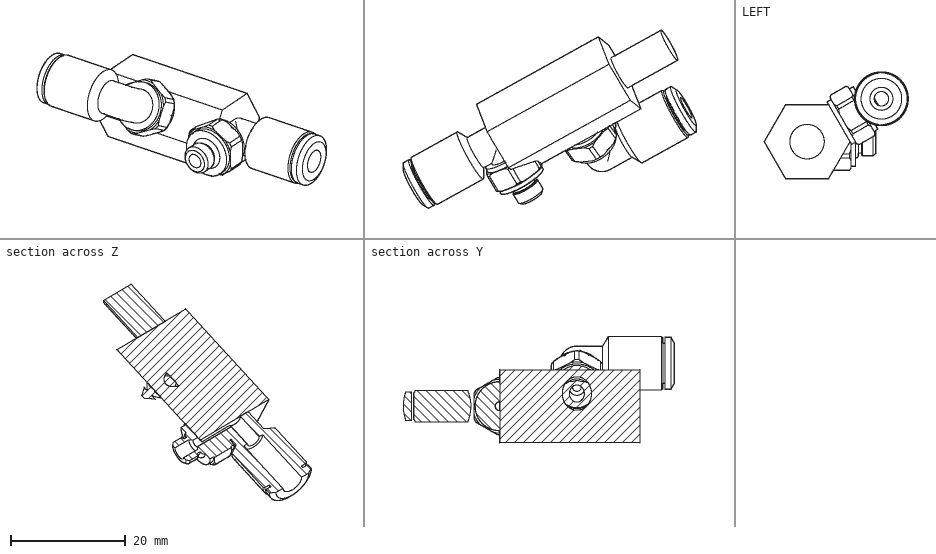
import cadquery as cq
import math

block_length = 24.5
block_flats = 13.0
rod_length = 10.0
rod_diameter = 6.0

tube_diameter = 6.0
taper_start = 4.5
taper_length = 1.05
body_start = taper_start + taper_length
body_diameter = 9.4
body_end = 15.0
body_end_chamfer = 0.25
groove_diameter = 7.0
collar_diameter = 9.1
collar_start = 15.35
collar_chamfer_start = 16.45
collar_face_diameter = 7.1
hose_arm_length = 17.0

shoulder_diameter = 8.6
shoulder_start = 3.2
nut_start = 3.95
nut_end = 7.65
nut_flats = 9.0
nut_corner_diameter = 10.0
nut_chamfer = 0.3
flange_diameter = 8.6
seat = 8.5
ring_diameter = 5.65
ring_height = 0.45
ring_rounding = 0.4
neck_diameter = 4.0
thread_diameter = 5.0
thread_start = 9.55
thread_top_chamfer = 0.15
thread_tip_chamfer = 0.45
stem_length = 12.0

hose_socket_diameter = 4.0
hose_bore_diameter = 2.5
stem_bore_diameter = 1.5
stud_bore_diameter = 2.5
stud_bore_taper = (stud_bore_diameter - stem_bore_diameter) / 2

side_fitting_x = 11.0
side_fitting_elevation = 30
side_fitting_reach = block_flats / 2 + seat


def hexagon_prism(plane, flats, length):
    """Hexagonal prism with two corners on the plane's local X axis."""
    return cq.Workplane(plane).polygon(6, flats / math.cos(math.pi / 6)).extrude(length)


def stem_cylinder(diameter, start, end):
    """Cylinder on the stem axis, between two distances from the elbow corner."""
    return cq.Workplane("XY").workplane(offset=-end).circle(diameter / 2).extrude(end - start)


def make_hose_arm():
    """Tube, tapered body, groove and release collar, turned about X."""
    body_radius = body_diameter / 2
    profile = [
        (0, 0),
        (0, tube_diameter / 2),
        (taper_start, tube_diameter / 2),
        (body_start, body_radius),
        (body_end - body_end_chamfer, body_radius),
        (body_end, body_radius - body_end_chamfer),
        (body_end, groove_diameter / 2),
        (collar_start, groove_diameter / 2),
        (collar_start, collar_diameter / 2),
        (collar_chamfer_start, collar_diameter / 2),
        (hose_arm_length, collar_face_diameter / 2),
        (hose_arm_length, 0),
    ]
    return cq.Workplane("XY").polyline(profile).close().revolve(360, (0, 0, 0), (1, 0, 0))


def make_nut():
    """Hexagonal nut with flats facing +X and -X, and turned, chamfered corners."""
    nut_length = nut_end - nut_start
    corner_limit = stem_cylinder(nut_corner_diameter, nut_start, nut_end).faces("|Z").chamfer(nut_chamfer)
    hexagon = hexagon_prism("XY", nut_flats, nut_length)
    hexagon = hexagon.rotate((0, 0, 0), (0, 0, 1), 90).translate((0, 0, -nut_end))
    return hexagon.intersect(corner_limit)


def make_stud():
    """Threaded stud with chamfered ends."""
    stud = stem_cylinder(thread_diameter, thread_start, stem_length)
    return stud.faces(">Z").chamfer(thread_top_chamfer).faces("<Z").chamfer(thread_tip_chamfer)


def make_stem():
    """Stem tube, shoulder, nut, flange, sealing ring, neck and threaded stud along -Z."""
    ring_end = seat + ring_height
    sealing_ring = stem_cylinder(ring_diameter, seat, ring_end).faces("<Z").edges().fillet(ring_rounding)
    stem = stem_cylinder(tube_diameter, 0, shoulder_start)
    stem = stem.union(stem_cylinder(shoulder_diameter, shoulder_start, nut_start))
    stem = stem.union(make_nut())
    stem = stem.union(stem_cylinder(flange_diameter, nut_end, seat))
    stem = stem.union(sealing_ring)
    stem = stem.union(stem_cylinder(neck_diameter, ring_end, thread_start))
    return stem.union(make_stud())


def make_passage():
    """Stepped hose bore with a rounded inner end, joined to the stud bore by the narrower stem bore."""
    socket = cq.Workplane("YZ").workplane(offset=body_start).circle(hose_socket_diameter / 2)
    socket = socket.extrude(hose_arm_length - body_start)
    hose_bore = cq.Workplane("YZ").circle(hose_bore_diameter / 2).extrude(body_start)
    bore_end = cq.Workplane("XY").sphere(hose_bore_diameter / 2)
    stem_bore = stem_cylinder(stem_bore_diameter, 0, stem_length)
    stud_bore_profile = [
        (0, -stem_length),
        (stud_bore_diameter / 2, -stem_length),
        (stud_bore_diameter / 2, -seat - stud_bore_taper),
        (stem_bore_diameter / 2, -seat),
        (0, -seat),
    ]
    stud_bore = cq.Workplane("XZ").polyline(stud_bore_profile).close().revolve(360, (0, 0, 0), (0, 1, 0))
    return socket.union(hose_bore).union(bore_end).union(stem_bore).union(stud_bore)


def make_fitting():
    """Elbow fitting with its corner at the origin, hose arm along +X and stem along -Z."""
    elbow = cq.Workplane("XY").sphere(tube_diameter / 2)
    return elbow.union(make_hose_arm()).union(make_stem()).cut(make_passage())


def place_on_side(shape):
    """Turn the hose arm to -X and seat the stem on the block's upper front face."""
    elevation = math.radians(side_fitting_elevation)
    corner_y = -side_fitting_reach * math.cos(elevation)
    corner_z = side_fitting_reach * math.sin(elevation)
    shape = shape.rotate((0, 0, 0), (0, 0, 1), 180)
    shape = shape.rotate((0, 0, 0), (1, 0, 0), 90 - side_fitting_elevation)
    return shape.translate((side_fitting_x, corner_y, corner_z))


def place_at_end(shape):
    """Keep the hose arm along +X, point the stem to -Y and move to the block's end face."""
    shape = shape.rotate((0, 0, 0), (1, 0, 0), -90)
    return shape.translate((block_length, 0, 0))


def make_block():
    """Hexagonal block with a stepped hole for the side fitting's ring and stud."""
    ring_seat = stem_cylinder(ring_diameter, seat, seat + ring_height)
    stud_hole = stem_cylinder(thread_diameter, seat, stem_length)
    return hexagon_prism("YZ", block_flats, block_length).cut(place_on_side(ring_seat.union(stud_hole)))


block = make_block()
rod = cq.Workplane("YZ").circle(rod_diameter / 2).extrude(-rod_length)

fittings = []
for place_fitting in (place_on_side, place_at_end):
    fittings.append(place_fitting(make_fitting()).cut(block))

fitting_solids = [solid for fitting in fittings for solid in fitting.solids().vals()]
result = cq.Compound.makeCompound([*block.solids().vals(), rod.val(), *fitting_solids])